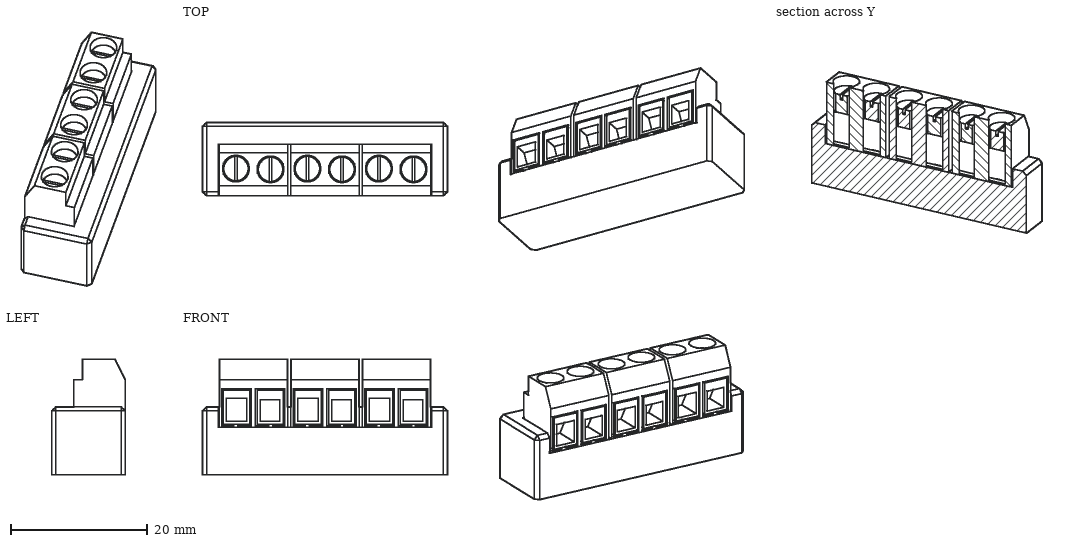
import cadquery as cq
import math

HOUSING_LENGTH = 36.0
HOUSING_DEPTH = 10.8
HOUSING_HEIGHT = 10.0
HOUSING_CHAMFER = 0.6

BLOCK_COUNT = 3
BLOCK_WIDTH = 10.0
BLOCK_GAP = 0.5
BLOCK_PITCH = BLOCK_WIDTH + BLOCK_GAP
BLOCK_DEPTH = 7.6
BLOCK_HEIGHT = 10.0
SHOULDER_HEIGHT = 7.0
BACK_STEP = 1.3
FRONT_SLOPE = 1.5

RECESS_SIDE_CLEARANCE = 0.2
RECESS_LENGTH = BLOCK_COUNT * BLOCK_WIDTH + (BLOCK_COUNT - 1) * BLOCK_GAP + 2 * RECESS_SIDE_CLEARANCE
RECESS_FLOOR = 7.0

WINDOW_WIDTH = 4.35
WINDOW_HEIGHT = 5.4
WINDOW_DEPTH = 5.0
WINDOW_SILL = 0.25

PIN_WIDTH = 0.65
SILL_SLOT_WIDTH = 1.0

SCREW_DIAMETER = 3.6
SCREW_HOLE_DIAMETER = 3.9
SCREW_TOP = 8.5
SCREW_SLOT_WIDTH = 0.35
SCREW_SLOT_DEPTH = 0.8

CLAMP_BOTTOM = 0.45
CLAMP_HEIGHT = 5.0
OPENING_BOTTOM = 0.9
OPENING_FLOOR_DEPTH = 4.0
OPENING_BACK_ANGLE = 30.0

POLES = [
    dict(window_x=-2.5, screw_x=-2.58, screw_y=4.0, clamp_x=-2.47, clamp_width=3.9,
         opening_x=-2.49, opening_width=3.05, opening_height=3.4),
    dict(window_x=2.4, screw_x=2.5, screw_y=3.9, clamp_x=2.44, clamp_width=3.8,
         opening_x=2.4, opening_width=2.85, opening_height=3.15),
]


def box(x_centre, y_front, z_bottom, width, depth, height):
    """Box centred in X that grows back from y_front and up from z_bottom."""
    corner = cq.Workplane("XY").box(width, depth, height, centered=(True, False, False))
    return corner.translate((x_centre, y_front, z_bottom))


def cylinder(x, y, z_bottom, diameter, height):
    return cq.Workplane("XY").circle(diameter / 2).extrude(height).translate((x, y, z_bottom))


def make_housing():
    body = box(0, 0, 0, HOUSING_LENGTH, HOUSING_DEPTH, HOUSING_HEIGHT)
    body = body.edges("|Z or >Z").chamfer(HOUSING_CHAMFER)
    recess = box(0, 0, RECESS_FLOOR, RECESS_LENGTH, BLOCK_DEPTH, HOUSING_HEIGHT)
    return body.cut(recess)


def make_block():
    profile = [
        (0, 0),
        (BLOCK_DEPTH, 0),
        (BLOCK_DEPTH, SHOULDER_HEIGHT),
        (BLOCK_DEPTH - BACK_STEP, SHOULDER_HEIGHT),
        (BLOCK_DEPTH - BACK_STEP, BLOCK_HEIGHT),
        (FRONT_SLOPE, BLOCK_HEIGHT),
        (0, SHOULDER_HEIGHT),
    ]
    block = cq.Workplane("YZ").polyline(profile).close().extrude(BLOCK_WIDTH / 2, both=True)
    for pole in POLES:
        window = box(pole["window_x"], 0, WINDOW_SILL, WINDOW_WIDTH, WINDOW_DEPTH, WINDOW_HEIGHT)
        sill_slot_depth = pole["screw_y"] + SILL_SLOT_WIDTH / 2
        sill_slot = box(pole["screw_x"], 0, 0, SILL_SLOT_WIDTH, sill_slot_depth, WINDOW_SILL)
        screw_hole = cylinder(pole["screw_x"], pole["screw_y"], WINDOW_SILL,
                              SCREW_HOLE_DIAMETER, BLOCK_HEIGHT - WINDOW_SILL)
        block = block.cut(window).cut(sill_slot).cut(screw_hole)
    return block


def make_wire_opening(x_centre, width, height):
    """Rectangular opening whose back wall leans forward towards the top."""
    roof_depth = OPENING_FLOOR_DEPTH - height * math.tan(math.radians(OPENING_BACK_ANGLE))
    profile = [
        (0, 0),
        (OPENING_FLOOR_DEPTH, 0),
        (roof_depth, height),
        (0, height),
    ]
    opening = cq.Workplane("YZ").polyline(profile).close().extrude(width / 2, both=True)
    return opening.translate((x_centre, 0, OPENING_BOTTOM))


def make_clamp(pole):
    """Clamp cage, flush with the block's front, with its screw on top and its pin below."""
    cage = box(pole["clamp_x"], 0, CLAMP_BOTTOM, pole["clamp_width"], WINDOW_DEPTH, CLAMP_HEIGHT)
    cage_top = CLAMP_BOTTOM + CLAMP_HEIGHT
    screw = cylinder(pole["screw_x"], pole["screw_y"], cage_top, SCREW_DIAMETER, SCREW_TOP - cage_top)
    slot = box(pole["screw_x"], pole["screw_y"] - SCREW_DIAMETER / 2, SCREW_TOP - SCREW_SLOT_DEPTH,
               SCREW_SLOT_WIDTH, SCREW_DIAMETER, SCREW_SLOT_DEPTH)
    pin = box(pole["screw_x"], pole["screw_y"] - PIN_WIDTH / 2, 0, PIN_WIDTH, PIN_WIDTH, CLAMP_BOTTOM)
    opening = make_wire_opening(pole["opening_x"], pole["opening_width"], pole["opening_height"])
    return cage.union(screw).union(pin).cut(slot).cut(opening)


housing = make_housing()
block = make_block()
clamps = [make_clamp(pole) for pole in POLES]

solids = [housing.val()]
for index in range(BLOCK_COUNT):
    block_x = (index - (BLOCK_COUNT - 1) / 2) * BLOCK_PITCH
    for body in [block] + clamps:
        solids.append(body.translate((block_x, 0, RECESS_FLOOR)).val())

result = cq.Compound.makeCompound(solids)